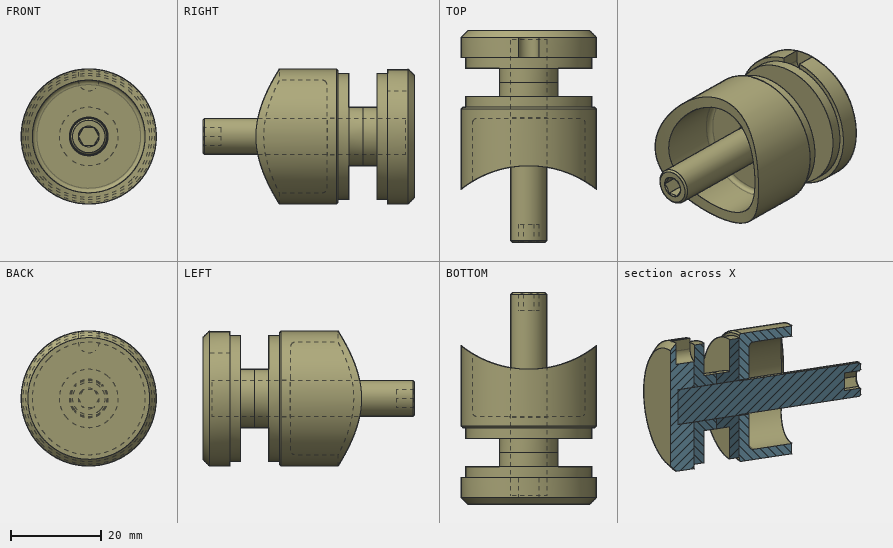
import cadquery as cq
import math


body_diameter = 30.0
screw_diameter = 8.0

flange_diameter = 28.0
flange_thickness = 2.4
collar_diameter = 13.0
collar_length = 3.1
gasket_length = flange_thickness + collar_length

cap_thickness = 6.0
cap_chamfer = 1.5
cap_end = gasket_length + cap_thickness
notch_width = 4.5
notch_length = cap_thickness - cap_chamfer
notch_round_height = 12.35

post_radius = 24.15
saddle_height = 13.0
saddle_floor = 2.5
saddle_bore_diameter = 25.0
saddle_bore_fillet = 1.0
saddle_chamfer = 0.4
screw_hole_diameter = 8.2
screw_hole_chamfer = 0.2
saddle_start = -gasket_length
saddle_middle = saddle_start - saddle_height
post_axis = saddle_middle - post_radius
saddle_rim = post_axis + math.sqrt(post_radius**2 - (body_diameter / 2) ** 2)

screw_length = 45.0
overall_length = 47.0
screw_tip = cap_end - overall_length
screw_plain_end = screw_tip + screw_length
screw_chamfer = 0.4
socket_width = 4.0
socket_corner_diameter = socket_width / math.cos(math.pi / 6)
socket_depth = 4.0


def cylinder(diameter, start, end):
    """Cylinder on the Y axis from y = start to the larger y = end."""
    plane = cq.Plane(origin=(0, start, 0), xDir=(1, 0, 0), normal=(0, 1, 0))
    return cq.Workplane(plane).circle(diameter / 2).extrude(end - start)


def countersink(radius, start):
    """45-degree cone with its mouth at y = start, narrowing to a point toward +Y."""
    corners = [(0, start), (radius, start), (0, start + radius)]
    profile = cq.Workplane("XY").polyline(corners).close()
    return profile.revolve(360, (0, 0, 0), (0, 1, 0))


def make_cap():
    cap = cylinder(body_diameter, gasket_length, cap_end).faces(">Y").chamfer(cap_chamfer)
    notch_end = gasket_length + notch_length
    notch_round = cylinder(notch_width, gasket_length, notch_end).translate((0, 0, notch_round_height))
    notch_walls = (
        cq.Workplane("XY")
        .box(notch_width, notch_length, body_diameter, centered=(True, False, False))
        .translate((0, gasket_length, notch_round_height))
    )
    screw_hole = cylinder(screw_diameter, gasket_length, screw_plain_end)
    return cap.cut(notch_round).cut(notch_walls).cut(screw_hole)


def make_cap_gasket():
    collar = cylinder(collar_diameter, 0, collar_length)
    flange = cylinder(flange_diameter, collar_length, gasket_length)
    return collar.union(flange).cut(cylinder(screw_diameter, 0, gasket_length))


def make_saddle():
    saddle = cylinder(body_diameter, saddle_rim, saddle_start).faces(">Y").chamfer(saddle_chamfer)
    floor_face = saddle_start - saddle_floor
    bore = cylinder(saddle_bore_diameter, saddle_rim, floor_face)
    bore = bore.faces(">Y").edges().fillet(saddle_bore_fillet)
    post = (
        cq.Workplane("XY")
        .center(0, post_axis)
        .circle(post_radius)
        .extrude(body_diameter / 2, both=True)
    )
    screw_hole = cylinder(screw_hole_diameter, floor_face, saddle_start)
    mouth = countersink(screw_hole_diameter / 2 + screw_hole_chamfer, floor_face)
    return saddle.cut(bore).cut(post).cut(screw_hole).cut(mouth)


def make_screw():
    screw = cylinder(screw_diameter, screw_tip, screw_plain_end).faces("<Y").chamfer(screw_chamfer)
    socket_plane = cq.Plane(origin=(0, screw_tip, 0), xDir=(1, 0, 0), normal=(0, 1, 0))
    socket = cq.Workplane(socket_plane).polygon(6, socket_corner_diameter).extrude(socket_depth)
    mouth = countersink(socket_corner_diameter / 2, screw_tip)
    return screw.cut(socket).cut(mouth)


cap = make_cap()
cap_gasket = make_cap_gasket()
saddle_gasket = cap_gasket.mirror("XZ")
saddle = make_saddle()
screw = make_screw()

result = cq.Compound.makeCompound(
    [cap.val(), cap_gasket.val(), saddle_gasket.val(), saddle.val(), screw.val()]
)